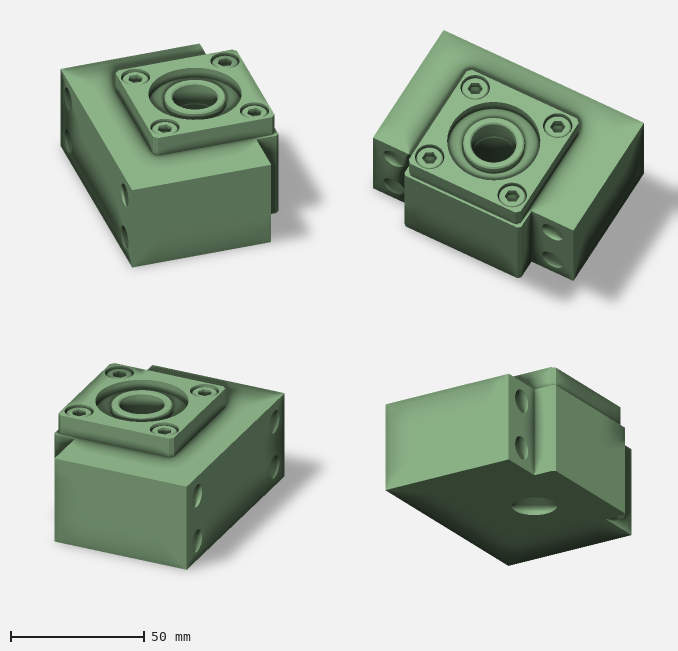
import cadquery as cq
import math


block_width = 86.0
overall_depth = 64.0
overall_height = 43.0
housing_height = 35.0
boss_width = 50.05
boss_chamfer = 1.0
boss_reach = boss_width / 2
block_front = boss_reach - overall_depth
block_back = 16.0
block_depth = block_back - block_front

mount_hole_diameter = 9.0
mount_hole_spacing_x = 67.9
mount_hole_spacing_z = 19.0

cover_width = 48.0
cover_chamfer = 1.5
cover_height = overall_height - housing_height

screw_circle_diameter = 50.05
screw_offset = screw_circle_diameter / 2 * math.sqrt(0.5)
screw_clearance_diameter = 6.6
counterbore_diameter = 11.0
head_diameter = 10.0
head_height = 6.0
head_recess = 0.8
head_chamfer = 0.5
shank_diameter = 6.0
shank_length = 13.8
socket_across_flats = 5.0
socket_depth = 2.9
socket_tip_depth = 1.5
screw_centers = [(i * screw_offset, j * screw_offset) for i in (-1, 1) for j in (-1, 1)]
head_top = overall_height - head_recess
head_bottom = head_top - head_height
shank_bottom = head_bottom - shank_length

seat_diameter = 35.0
seal_recess = 4.0
collar_diameter = 23.0
collar_recess = 1.0
collar_length = 8.95
shaft_diameter = 17.0
ring_chamfer = 0.5
seal_top = overall_height - seal_recess
collar_top = overall_height - collar_recess
sleeve_top = collar_top - collar_length


def plate(width, depth, height, base_z, center_y=0):
    """Rectangular plate that stands on base_z."""
    return (
        cq.Workplane("XY", origin=(0, center_y, base_z))
        .rect(width, depth)
        .extrude(height)
    )


def cylinder(diameter, bottom, top, center=(0, 0)):
    """Upright cylinder between two heights."""
    return (
        cq.Workplane("XY", origin=(center[0], center[1], bottom))
        .circle(diameter / 2)
        .extrude(top - bottom)
    )


def ring(outer_diameter, inner_diameter, bottom, top):
    """Plain ring around the bore axis."""
    return cylinder(outer_diameter, bottom, top).cut(cylinder(inner_diameter, bottom, top))


def make_housing():
    block = plate(block_width, block_depth, housing_height, 0, (block_front + block_back) / 2)
    boss = (
        plate(boss_width, boss_width, housing_height, 0)
        .edges("|Z and >Y")
        .chamfer(boss_chamfer)
    )
    mount_holes = (
        cq.Workplane("XZ", origin=(0, block_back, housing_height / 2))
        .rect(mount_hole_spacing_x, mount_hole_spacing_z, forConstruction=True)
        .vertices()
        .circle(mount_hole_diameter / 2)
        .extrude(block_depth)
    )
    housing = block.union(boss).cut(mount_holes)
    housing = housing.cut(cylinder(seat_diameter, 0, housing_height))
    for center in screw_centers:
        housing = housing.cut(cylinder(shank_diameter, shank_bottom, housing_height, center))
    return housing


def make_cover():
    cover = (
        plate(cover_width, cover_width, cover_height, housing_height)
        .edges("|Z")
        .chamfer(cover_chamfer)
    )
    cover = cover.cut(cylinder(seat_diameter, housing_height, overall_height))
    for center in screw_centers:
        cover = cover.cut(cylinder(screw_clearance_diameter, housing_height, overall_height, center))
        cover = cover.cut(cylinder(counterbore_diameter, head_bottom, overall_height, center))
    return cover


def make_screw(center):
    """Cap screw with a hexagon socket that ends in a drill cone."""
    x, y = center
    head = cylinder(head_diameter, head_bottom, head_top, center).faces(">Z").chamfer(head_chamfer)
    shank = cylinder(shank_diameter, shank_bottom, head_bottom, center)
    socket = (
        cq.Workplane("XY", origin=(x, y, head_top - socket_depth))
        .polygon(6, socket_across_flats, circumscribed=True)
        .extrude(socket_depth)
    )
    tip = cq.Workplane(
        cq.Solid.makeCone(
            socket_across_flats / 2,
            0,
            socket_tip_depth,
            pnt=cq.Vector(x, y, head_top - socket_depth),
            dir=cq.Vector(0, 0, -1),
        )
    )
    return head.union(shank).cut(socket).cut(tip)


def make_seal():
    """Ring with both top edges chamfered."""
    return ring(seat_diameter, collar_diameter, sleeve_top, seal_top).faces(">Z").chamfer(ring_chamfer)


def make_collar():
    """Ring with both top edges chamfered, standing out of the seal."""
    return ring(collar_diameter, shaft_diameter, sleeve_top, collar_top).faces(">Z").chamfer(ring_chamfer)


def make_bearing_sleeve():
    """Ring below the collar with a chamfered bore mouth."""
    sleeve = ring(seat_diameter, shaft_diameter, 0, sleeve_top)
    bore_mouth = cq.selectors.RadiusNthSelector(0)
    return sleeve.faces(">Z").edges(bore_mouth).chamfer(ring_chamfer)


housing = make_housing()
cover = make_cover()
screws = [make_screw(center) for center in screw_centers]
seal = make_seal()
collar = make_collar()
bearing_sleeve = make_bearing_sleeve()

result = cq.Compound.makeCompound(
    [
        housing.val(),
        cover.val(),
        *[screw.val() for screw in screws],
        seal.val(),
        collar.val(),
        bearing_sleeve.val(),
    ]
)